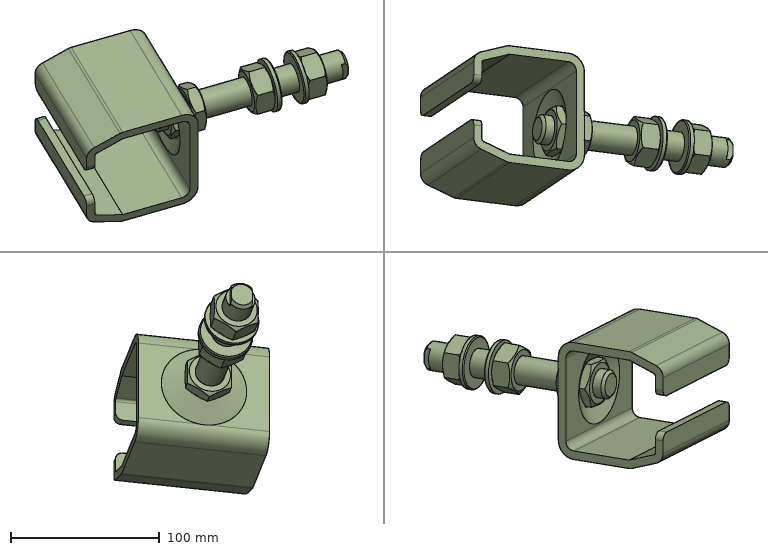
import cadquery as cq
import math


overall_length = 206

bracket_width = 90.0
bracket_height = 82.0
bracket_depth = 81.0
sheet = 6.0
back_bend_radius = 2 * sheet
flat_length = 54.8
slant_angle = math.radians(19)
lip_bend_radius = 8.0
slot_height = 25.5
lip_corner_radius = 5.0

cone_height = 9.3
cone_base_radius = 29.3
cone_widening = 2.0
seat_face = cone_height - sheet

rod_diameter = 20.0
rod_outer_end = overall_length - bracket_depth
rod_inner_end = -15.0
rod_chamfer = 2.0
flats_width = 14.5
flats_length = 5.0

nut_across_flats = 30.0
nut_height = 15.0
thin_nut_height = 9.9
pocket_clearance = 0.5
nut_face_diameter = 28.2
nut_chamfer_angle = math.radians(30)

washer_diameter = 36.9
washer_thickness = 3.5
washer_chamfer = 0.8

outer_clamp_face = 91.9
inner_clamp_face = 69.0


def cylinder(diameter, y_low, y_high):
    """Cylinder on the rod axis between two Y positions."""
    return cq.Workplane("XZ", origin=(0, y_low, 0)).circle(diameter / 2).extrude(y_low - y_high)


def turned(points):
    """Solid of revolution about the rod axis from (radius, y) points."""
    return cq.Workplane("XY").polyline(points).close().revolve(360, (0, 0, 0), (0, 1, 0))


def hexagon(across_flats, y_low, y_high, turn):
    """Hexagonal prism on the rod axis; at turn = 0 two corners point along Z."""
    return (
        cq.Workplane("XZ", origin=(0, y_low, 0))
        .polygon(6, 2 * across_flats / math.sqrt(3))
        .extrude(y_low - y_high)
        .rotate((0, 0, 0), (0, 1, 0), 30 + turn)
    )


def bracket_outline():
    """Closed outline of the upper half of the C profile, on the -X end of the bracket."""
    sin_slant = math.sin(slant_angle)
    cos_slant = math.cos(slant_angle)
    sin_half = math.sin(slant_angle / 2)
    cos_half = math.cos(slant_angle / 2)
    diagonal = math.sqrt(0.5)

    top = bracket_height / 2
    inner_top = top - sheet
    front = -bracket_depth
    slot_edge = slot_height / 2
    back_centre_z = top - back_bend_radius
    inner_back_radius = back_bend_radius - sheet
    inner_lip_radius = lip_bend_radius - sheet

    slant_y = -flat_length - sheet * sin_slant
    slant_z = inner_top + sheet * cos_slant
    lip_centre_y = front + lip_bend_radius
    run = slant_y - (lip_centre_y - lip_bend_radius * sin_slant)
    lip_centre_z = slant_z - run * math.tan(slant_angle) - lip_bend_radius * cos_slant

    def lip_point(radius, angle):
        return lip_centre_y - radius * math.cos(angle), lip_centre_z + radius * math.sin(angle)

    def back_point(radius):
        return -back_bend_radius + radius * diagonal, back_centre_z + radius * diagonal

    slant_end = math.pi / 2 - slant_angle
    return (
        cq.Workplane("YZ", origin=(-bracket_width / 2, 0, 0))
        .moveTo(0, 0)
        .lineTo(0, back_centre_z)
        .threePointArc(back_point(back_bend_radius), (-back_bend_radius, top))
        .lineTo(-flat_length, top)
        .threePointArc(
            (-flat_length - sheet * sin_half, inner_top + sheet * cos_half), (slant_y, slant_z)
        )
        .lineTo(*lip_point(lip_bend_radius, slant_end))
        .threePointArc(lip_point(lip_bend_radius, slant_end / 2), lip_point(lip_bend_radius, 0))
        .lineTo(front, slot_edge)
        .lineTo(front + sheet, slot_edge)
        .lineTo(*lip_point(inner_lip_radius, 0))
        .threePointArc(
            lip_point(inner_lip_radius, slant_end / 2), lip_point(inner_lip_radius, slant_end)
        )
        .lineTo(-flat_length, inner_top)
        .lineTo(-back_bend_radius, inner_top)
        .threePointArc(back_point(inner_back_radius), (-sheet, back_centre_z))
        .lineTo(-sheet, 0)
        .close()
    )


def make_bracket():
    """C-shaped bracket with a hollow cone pressed out of its back plate."""
    upper = bracket_outline().extrude(bracket_width)
    lip_end_centre = (0, sheet / 2 - bracket_depth, slot_height / 2)
    lip_end = upper.faces(cq.selectors.NearestToPointSelector(lip_end_centre))
    upper = lip_end.edges("|Y").fillet(lip_corner_radius)
    shell = upper.union(upper.mirror("XY"))

    root = -sheet / 2
    cone_top_radius = cone_base_radius - cone_widening * cone_height
    cone = turned([
        (0, root),
        (cone_base_radius, root),
        (cone_base_radius, 0),
        (cone_top_radius, cone_height),
        (0, cone_height),
    ])

    axial_wall = sheet * math.hypot(1, cone_widening) / cone_widening
    hollow_base_radius = cone_base_radius + cone_widening * (sheet - axial_wall)
    hollow_apex = hollow_base_radius / cone_widening - sheet
    hollow = turned([(0, -sheet), (hollow_base_radius, -sheet), (0, hollow_apex)])

    rod_hole = cylinder(rod_diameter, -sheet, cone_height)
    nut_pocket = hexagon(
        nut_across_flats + 2 * pocket_clearance, seat_face - thin_nut_height, seat_face, turn=30
    )
    return shell.union(cone).cut(hollow).cut(rod_hole).cut(nut_pocket)


def make_rod():
    """Rod with both ends chamfered and two flats at the outer end."""
    rod = cylinder(rod_diameter, rod_inner_end, rod_outer_end).faces("<Y or >Y").chamfer(rod_chamfer)
    tongue = (
        cq.Workplane("XY")
        .box(flats_width, 2 * flats_length, rod_diameter)
        .translate((0, rod_outer_end, 0))
    )
    flats_waste = cylinder(rod_diameter, rod_outer_end - flats_length, rod_outer_end).cut(tongue)
    return rod.cut(flats_waste)


def make_nut(y_low, height, turn=0):
    """Hexagon nut with chamfered corners; at turn = 0 two corners point along Z."""
    corner_radius = nut_across_flats / math.sqrt(3)
    face_radius = nut_face_diameter / 2
    drop = (corner_radius - face_radius) * math.tan(nut_chamfer_angle)
    y_high = y_low + height
    envelope = turned([
        (0, y_low),
        (face_radius, y_low),
        (corner_radius, y_low + drop),
        (corner_radius, y_high - drop),
        (face_radius, y_high),
        (0, y_high),
    ])
    return hexagon(nut_across_flats, y_low, y_high, turn).intersect(envelope)


def make_washer(y_low, chamfered_face):
    """Washer with its rim chamfered on one face, "<Y" or ">Y"."""
    blank = cylinder(washer_diameter, y_low, y_low + washer_thickness)
    return blank.faces(chamfered_face).chamfer(washer_chamfer)


def bored(blank):
    """Blank with a through hole that fits the rod."""
    return blank.cut(cylinder(rod_diameter, rod_inner_end, rod_outer_end))


seated_nut = make_nut(seat_face - thin_nut_height, thin_nut_height, turn=30)
bracket = make_bracket()
thin_nuts = [bored(nut) for nut in (make_nut(cone_height, thin_nut_height), seated_nut)]

nuts = [
    bored(make_nut(y_low, nut_height))
    for y_low in (outer_clamp_face, inner_clamp_face - nut_height)
]
washers = [
    bored(make_washer(y_low, chamfered_face))
    for y_low, chamfered_face in (
        (outer_clamp_face - washer_thickness, "<Y"),
        (inner_clamp_face, ">Y"),
    )
]

rod = make_rod()

bodies = [bracket, rod, *thin_nuts, *nuts, *washers]
result = cq.Compound.makeCompound([body.val() for body in bodies])